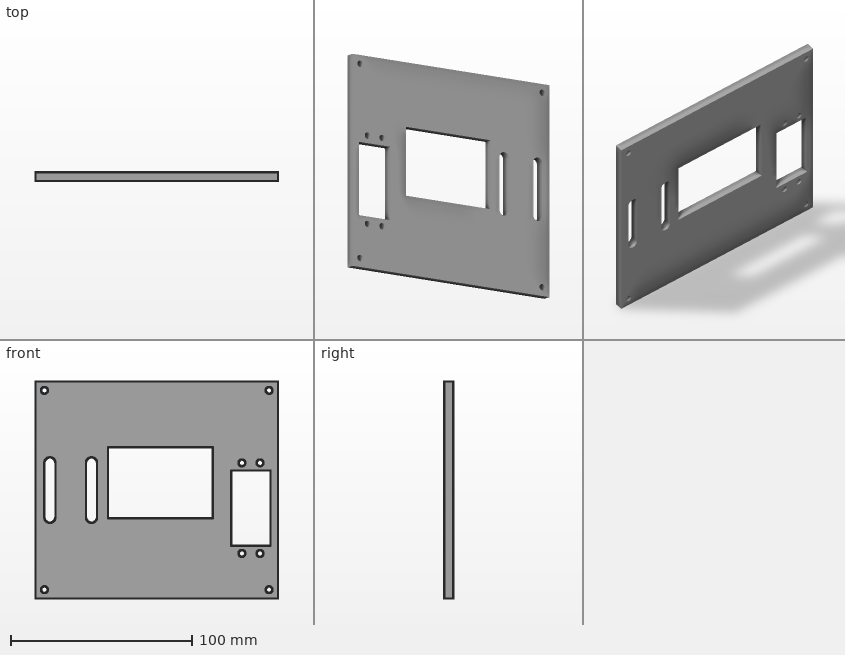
import cadquery as cq

plate_width = 134.0
plate_thickness = 5.0
plate_height = 120.0

hole_diameter = 3.6

corner_hole_inset = 5.0

slot_width = 6.0
slot_length = 36.0
slot_angle = 90.0
slot_centers_x = (-59.0, -36.0)

display_width = 57.8
display_height = 39.0
display_center = (2.0, 4.0)

connector_width = 21.5
connector_height = 41.5
connector_center = (52.0, -10.0)
screw_spacing_x = 10.0
screw_spacing_z = 50.0


def make_plate():
    return cq.Workplane("XZ").box(plate_width, plate_height, plate_thickness)


def front_sketch(center=(0.0, 0.0)):
    """Workplane on the plate's mid-plane with its origin at the given (x, z)."""
    return cq.Workplane("XZ").center(*center)


def through(outline):
    """Cutter that passes through the full plate thickness."""
    return outline.extrude(plate_thickness, both=True)


def hole_pattern(center, spacing_x, spacing_z):
    """Four holes at the corners of a rectangle."""
    points = front_sketch(center).rarray(spacing_x, spacing_z, 2, 2)
    return through(points.circle(hole_diameter / 2))


def window(center, width, height):
    return through(front_sketch(center).rect(width, height))


def slot(center_x):
    return through(front_sketch((center_x, 0.0)).slot2D(slot_length, slot_width, slot_angle))


result = make_plate()

corner_spacing_x = plate_width - 2 * corner_hole_inset
corner_spacing_z = plate_height - 2 * corner_hole_inset
result = result.cut(hole_pattern((0.0, 0.0), corner_spacing_x, corner_spacing_z))

for slot_center_x in slot_centers_x:
    result = result.cut(slot(slot_center_x))

result = result.cut(window(display_center, display_width, display_height))

result = result.cut(window(connector_center, connector_width, connector_height))
result = result.cut(hole_pattern(connector_center, screw_spacing_x, screw_spacing_z))